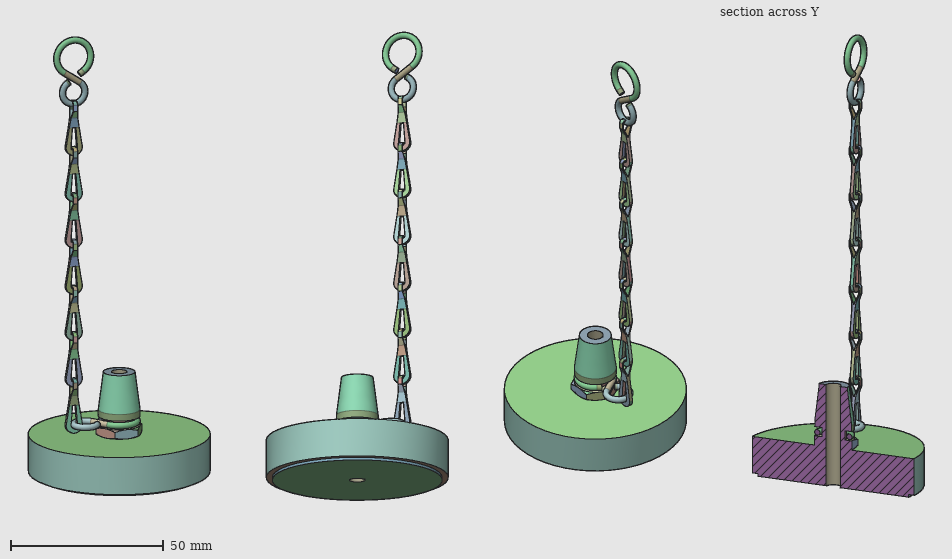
import cadquery as cq
import math


OVERALL_HEIGHT = 150.2

DISC_DIAMETER = 60.0
FOOT_DIAMETER = 55.9
FOOT_HEIGHT = 0.9
DISC_TOP = 13.5
HEX_ACROSS_FLATS = 14.0
HEX_TOP = 16.7
HEX_CHAMFER_HEIGHT = 0.6
NECK_RADIUS = 4.4
GRIP_BOTTOM = 19.7
GRIP_TAPER_START = 22.0
GRIP_TOP = 34.7
GRIP_RADIUS = 6.9
GRIP_TOP_RADIUS = 5.3
BORE_RADIUS = 2.5

WIRE_RADIUS = 1.0
LARGE_EYE_RADIUS = 5.93
SMALL_EYE_RADIUS = 3.9
EYE_SPACING = 11.9
LARGE_EYE_TAIL = 1.7
SMALL_EYE_TAIL = 0.8
LOWER_HOOK_Z = 17.9

LINK_COUNT = 7
LINK_PITCH = 15.8
LINK_LENGTH = 18.5
CHAIN_BOTTOM = 15.3
CHAIN_Y = -15.9
STRIP_THICKNESS = 0.5
STRIP_WIDTH = 1.5
LOOP_HALF_WIDTH = 2.0
LOOP_CORNER_RADIUS = 1.0
LOOP_SIDE_END = 3.2
TAPER_END = 5.5
BLEND_END = 9.0
TAPER_END_HALF_WIDTH = 0.9
BLEND_MIDDLE_HALF_WIDTH = 0.68
PLATE_HALF_THICKNESS = 0.6
PEAR_RADIUS = 2.9
EYE_RADIUS = 1.13
EYE_TOP_HALF_WIDTH = 0.6


def disc(radius, bottom, top):
    return cq.Workplane("XY").workplane(offset=bottom).circle(radius).extrude(top - bottom)


def make_hexagon():
    """Hexagon with corners on the Y axis, turned down at both ends to its inscribed circle."""
    flat_radius = HEX_ACROSS_FLATS / 2
    corner_radius = flat_radius / math.cos(math.radians(30))
    prism = (
        cq.Workplane("XY")
        .workplane(offset=DISC_TOP)
        .polygon(6, 2 * corner_radius)
        .extrude(HEX_TOP - DISC_TOP)
        .rotate((0, 0, 0), (0, 0, 1), 30)
    )
    turned_envelope = (
        cq.Workplane("XZ")
        .moveTo(0, DISC_TOP)
        .lineTo(flat_radius, DISC_TOP)
        .lineTo(corner_radius, DISC_TOP + HEX_CHAMFER_HEIGHT)
        .lineTo(corner_radius, HEX_TOP - HEX_CHAMFER_HEIGHT)
        .lineTo(flat_radius, HEX_TOP)
        .lineTo(0, HEX_TOP)
        .close()
        .revolve(360, (0, 0, 0), (0, 1, 0))
    )
    return prism.intersect(turned_envelope)


def make_grip():
    """Short cylinder with a long taper above it."""
    return (
        cq.Workplane("XZ")
        .moveTo(0, GRIP_BOTTOM)
        .lineTo(GRIP_RADIUS, GRIP_BOTTOM)
        .lineTo(GRIP_RADIUS, GRIP_TAPER_START)
        .lineTo(GRIP_TOP_RADIUS, GRIP_TOP)
        .lineTo(0, GRIP_TOP)
        .close()
        .revolve(360, (0, 0, 0), (0, 1, 0))
    )


def make_base():
    return (
        disc(FOOT_DIAMETER / 2, 0, FOOT_HEIGHT)
        .union(disc(DISC_DIAMETER / 2, FOOT_HEIGHT, DISC_TOP))
        .union(make_hexagon())
        .union(disc(NECK_RADIUS, HEX_TOP, GRIP_BOTTOM))
        .union(make_grip())
        .cut(disc(BORE_RADIUS, 0, GRIP_TOP))
    )


def make_hook(plane):
    """S-hook with its large eye at the plane's origin and its small eye below it.

    The eyes are joined by their crossing tangent; each free end runs a little
    way along the mirrored tangent.
    """
    angle = math.acos((LARGE_EYE_RADIUS + SMALL_EYE_RADIUS) / EYE_SPACING)
    sin_a = math.sin(angle)
    cos_a = math.cos(angle)
    large_x = LARGE_EYE_RADIUS * sin_a
    large_y = -LARGE_EYE_RADIUS * cos_a
    small_x = SMALL_EYE_RADIUS * sin_a
    small_y = SMALL_EYE_RADIUS * cos_a - EYE_SPACING
    start = (-large_x + LARGE_EYE_TAIL * cos_a, large_y - LARGE_EYE_TAIL * sin_a)
    end = (small_x - SMALL_EYE_TAIL * cos_a, small_y + SMALL_EYE_TAIL * sin_a)
    path = (
        cq.Workplane(plane)
        .moveTo(*start)
        .lineTo(-large_x, large_y)
        .threePointArc((0, LARGE_EYE_RADIUS), (large_x, large_y))
        .lineTo(-small_x, small_y)
        .threePointArc((0, -EYE_SPACING - SMALL_EYE_RADIUS), (small_x, small_y))
        .lineTo(*end)
    )
    section_plane = cq.Plane(
        origin=plane.toWorldCoords((*start, 0)),
        xDir=plane.zDir,
        normal=path.val().tangentAt(0),
    )
    return cq.Workplane(section_plane).circle(WIRE_RADIUS).sweep(path)


def make_link_side_profile():
    """Loop, taper and plate thickness in X and Z, as a solid running along Y."""
    blend_middle = (BLEND_MIDDLE_HALF_WIDTH, -(TAPER_END + BLEND_END) / 2)
    outside = (
        cq.Workplane("XZ")
        .moveTo(-LOOP_HALF_WIDTH, 0)
        .lineTo(LOOP_HALF_WIDTH, 0)
        .lineTo(LOOP_HALF_WIDTH, -LOOP_SIDE_END)
        .lineTo(TAPER_END_HALF_WIDTH, -TAPER_END)
        .threePointArc(blend_middle, (PLATE_HALF_THICKNESS, -BLEND_END))
        .lineTo(PLATE_HALF_THICKNESS, -LINK_LENGTH)
        .lineTo(-PLATE_HALF_THICKNESS, -LINK_LENGTH)
        .lineTo(-PLATE_HALF_THICKNESS, -BLEND_END)
        .threePointArc((-blend_middle[0], blend_middle[1]), (-TAPER_END_HALF_WIDTH, -TAPER_END))
        .lineTo(-LOOP_HALF_WIDTH, -LOOP_SIDE_END)
        .close()
        .extrude(PEAR_RADIUS, both=True)
        .edges("|Y and >Z")
        .fillet(LOOP_CORNER_RADIUS)
    )
    inner_half_width = LOOP_HALF_WIDTH - STRIP_THICKNESS
    taper_slope = (TAPER_END - LOOP_SIDE_END) / (LOOP_HALF_WIDTH - TAPER_END_HALF_WIDTH)
    inner_point_z = -LOOP_SIDE_END - inner_half_width * taper_slope
    opening = (
        cq.Workplane("XZ")
        .moveTo(-inner_half_width, -STRIP_THICKNESS)
        .lineTo(inner_half_width, -STRIP_THICKNESS)
        .lineTo(inner_half_width, -LOOP_SIDE_END)
        .lineTo(0, inner_point_z)
        .lineTo(-inner_half_width, -LOOP_SIDE_END)
        .close()
        .extrude(PEAR_RADIUS, both=True)
        .edges("|Y and >Z")
        .fillet(LOOP_CORNER_RADIUS - STRIP_THICKNESS)
    )
    return outside.cut(opening)


def make_link_face_profile():
    """Strip widening to a pear with a pear-shaped eye, as a solid running along X."""
    centre_z = PEAR_RADIUS - LINK_LENGTH
    half_strip = STRIP_WIDTH / 2
    pear = (
        cq.Workplane("YZ")
        .moveTo(-half_strip, 0)
        .lineTo(half_strip, 0)
        .lineTo(half_strip, -LOOP_SIDE_END)
        .lineTo(PEAR_RADIUS, centre_z)
        .threePointArc((0, -LINK_LENGTH), (-PEAR_RADIUS, centre_z))
        .lineTo(-half_strip, -LOOP_SIDE_END)
        .close()
        .extrude(LOOP_HALF_WIDTH, both=True)
    )
    eye = (
        cq.Workplane("YZ")
        .moveTo(-EYE_TOP_HALF_WIDTH, -BLEND_END)
        .lineTo(EYE_TOP_HALF_WIDTH, -BLEND_END)
        .lineTo(EYE_RADIUS, centre_z)
        .threePointArc((0, centre_z - EYE_RADIUS), (-EYE_RADIUS, centre_z))
        .close()
        .extrude(LOOP_HALF_WIDTH, both=True)
    )
    return pear.cut(eye)


def make_link(index):
    """Chain link counted upwards from 0 at the base."""
    top_z = CHAIN_BOTTOM + LINK_LENGTH + index * LINK_PITCH
    link = make_link_side_profile().intersect(make_link_face_profile())
    return link.translate((0, CHAIN_Y, top_z))


def make_lower_hook():
    """Hook lying flat around the neck, fused to the lowest link."""
    plane = cq.Plane(origin=(0, 0, LOWER_HOOK_Z), xDir=(1, 0, 0), normal=(0, 0, 1))
    return make_hook(plane).union(make_link(0))


def make_upper_hook():
    """Upright hook at the top of the chain, fused to the highest link."""
    large_eye_z = OVERALL_HEIGHT - LARGE_EYE_RADIUS - WIRE_RADIUS
    plane = cq.Plane(origin=(0, CHAIN_Y, large_eye_z), xDir=(0, -1, 0), normal=(-1, 0, 0))
    return make_hook(plane).union(make_link(LINK_COUNT - 1))


base = make_base().solids().val()
lower_hook = make_lower_hook().solids().val()
upper_hook = make_upper_hook().solids().val()
free_links = [make_link(index).solids().val() for index in range(1, LINK_COUNT - 1)]

result = cq.Compound.makeCompound([base, lower_hook, upper_hook, *free_links])